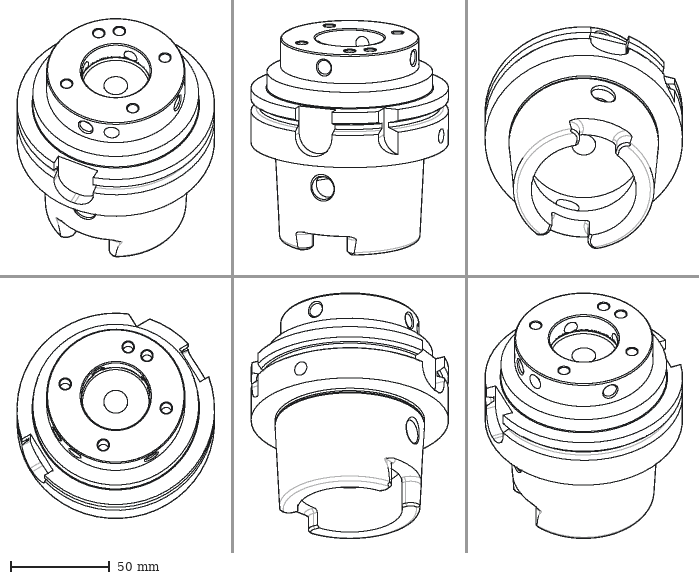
import cadquery as cq
import math


clearance = 1.0

top_z = 55.0
bottom_z = -49.9
collar_radius = 35.0
collar_base_z = 40.0
collar_chamfer_width = 0.5
collar_chamfer_height = 0.7
shoulder_radius = 42.0
shoulder_top_z = 37.2
shoulder_foot = 0.4
flange_diameter = 100.0
flange_radius = flange_diameter / 2
flange_top_z = 28.7

groove_top_z = 23.0
groove_bottom_z = 16.8
groove_flank_height = 1.4
groove_floor_top_z = 21.4
groove_floor_bottom_z = 18.9
groove_neck_radius = 47.4
groove_floor_radius = 45.9

shank_radius = 37.9
taper_slope = 0.05
relief_radius = 37.5
relief_start_z = -1.2
relief_end_z = -1.9
taper_start_z = -2.6
shank_bottom_radius = shank_radius + taper_slope * (bottom_z - taper_start_z)
rim_round = 1.9

bore_radius = 26.5
cavity_radius = 30.9
cavity_bottom_z = -25.2
cavity_top_z = -4.2
through_radius = 6.0
recess_radius = 17.4
recess_depth = 11.7
recess_mouth_chamfer = 0.6
recess_floor_radius = 16.8
recess_relief_radius = 18.0
recess_relief_top = 9.9
recess_relief_bottom = 11.1

collar_hole_z = top_z - 7.2
collar_hole_radius = 3.6
collar_hole_mouth_radius = 4.4
dimple_radius = 4.1
dimple_angle = -67.5
dimple_depth = 2.9
flange_dimple_z = 8.4
flange_dimple_radius = 3.7
flange_dimple_depth = 3.6
face_hole_circle = 26.3
face_hole_radius = 2.7
face_hole_mouth_radius = 3.1
face_hole_depth = 9.4
face_hole_angles = (45, 112, 135, 225, 315)

access_z = -14.9
access_radius = 6.0
access_mouth_radius = 7.0

slot_bottom_z = 4.9
slot_end_radius = 10.0
front_slot_half_width = 11.0
slot_floor_y = 43.7
corner_notch = 31.3

key_half_width = 9.9
key_lip_radius = 5.2
key_lip_y = 32.1
key_lip_slope = 25.0
key_corner_round = 1.9
key_end_chamfer = 1.3
front_key_z = -34.8
rear_key_z = -39.8


def turned_body():
    """Solid of revolution without its bores."""
    outline = [
        (0, top_z),
        (collar_radius - collar_chamfer_width, top_z),
        (collar_radius, top_z - collar_chamfer_height),
        (collar_radius, collar_base_z),
        (shoulder_radius, shoulder_top_z),
        (shoulder_radius, flange_top_z + shoulder_foot),
        (shoulder_radius + shoulder_foot, flange_top_z),
        (flange_radius, flange_top_z),
        (flange_radius, groove_top_z),
        (groove_neck_radius, groove_top_z - groove_flank_height),
        (groove_floor_radius, groove_floor_top_z),
        (groove_floor_radius, groove_floor_bottom_z),
        (groove_neck_radius, groove_bottom_z + groove_flank_height),
        (flange_radius, groove_bottom_z),
        (flange_radius, 0),
        (shank_radius, 0),
        (relief_radius, relief_start_z),
        (relief_radius, relief_end_z),
        (shank_radius, taper_start_z),
        (shank_bottom_radius, bottom_z),
        (0, bottom_z),
    ]
    body = cq.Workplane("XZ").polyline(outline).close().revolve(360, (0, 0), (0, 1))
    return body.faces("<Z").edges().fillet(rim_round)


def key_cutter(ceiling_z):
    """Keyway on the -Y side whose walls roll outward over rounded lips."""
    slope = math.radians(key_lip_slope)
    lip_x = key_half_width + key_lip_radius
    lip_y = -key_lip_y + key_lip_radius

    def on_lip(angle):
        return (lip_x + key_lip_radius * math.cos(angle), lip_y + key_lip_radius * math.sin(angle))

    lip_start = on_lip(math.pi)
    lip_end = on_lip(1.5 * math.pi + slope)
    lip_middle = on_lip(1.25 * math.pi + slope / 2)

    outer_x = 29.4
    outer_y = -47.2
    inner_y = -15.7
    tail = (outer_x, lip_end[1] + (outer_x - lip_end[0]) * math.tan(slope))

    def mirrored(point):
        return (-point[0], point[1])

    def plan(z):
        return (
            cq.Workplane("XY", origin=(0, 0, z))
            .moveTo(key_half_width, inner_y)
            .lineTo(*lip_start)
            .threePointArc(lip_middle, lip_end)
            .lineTo(*tail)
            .lineTo(outer_x, outer_y)
            .lineTo(-outer_x, outer_y)
            .lineTo(*mirrored(tail))
            .lineTo(*mirrored(lip_end))
            .threePointArc(mirrored(lip_middle), mirrored(lip_start))
            .lineTo(-key_half_width, inner_y)
            .close()
        )

    slot = plan(bottom_z).extrude(ceiling_z - bottom_z)
    slot = slot.faces(">Z").edges().fillet(key_corner_round)
    flare = plan(bottom_z + key_end_chamfer).extrude(-key_end_chamfer, taper=-45)
    return slot.union(flare)


def flange_slot(center_x, half_width, floor_y, side):
    """Slot open to the top of the flange, cut inward along Y from the +Y (1) or -Y (-1) side."""
    depth = flange_radius + clearance - floor_y
    open_z = flange_top_z + clearance
    round_z = slot_bottom_z + slot_end_radius
    flat_half_width = half_width - slot_end_radius
    bulge = slot_end_radius * math.sqrt(0.5)

    outline = cq.Workplane("XZ").moveTo(-half_width, open_z).lineTo(-half_width, round_z)
    outline = outline.threePointArc(
        (-flat_half_width - bulge, round_z - bulge), (-flat_half_width, slot_bottom_z)
    )
    if flat_half_width > 0:
        outline = outline.lineTo(flat_half_width, slot_bottom_z)
    outline = outline.threePointArc((flat_half_width + bulge, round_z - bulge), (half_width, round_z))
    slot = outline.lineTo(half_width, open_z).close().extrude(depth / 2, both=True)
    return slot.translate((center_x, side * (floor_y + depth / 2), 0))


def cylinder(radius, length, start, direction):
    return cq.Workplane(cq.Solid.makeCylinder(radius, length, start, direction))


def cone(mouth_radius, end_radius, depth, start, direction):
    return cq.Workplane(cq.Solid.makeCone(mouth_radius, end_radius, depth, start, direction))


def axial_bores():
    """Stepped shank bore, through hole and the chamfered recess in the top face."""
    half_outline = [
        (0, bottom_z),
        (bore_radius, bottom_z),
        (bore_radius, cavity_bottom_z),
        (cavity_radius, cavity_bottom_z),
        (cavity_radius, cavity_top_z),
        (through_radius, cavity_top_z),
        (through_radius, top_z - recess_depth),
        (recess_floor_radius, top_z - recess_depth),
        (recess_relief_radius, top_z - recess_relief_bottom),
        (recess_relief_radius, top_z - recess_relief_top),
        (recess_radius, top_z - recess_relief_top),
        (recess_radius, top_z - recess_mouth_chamfer),
        (recess_radius + recess_mouth_chamfer, top_z),
        (0, top_z),
    ]
    return cq.Workplane("XZ").polyline(half_outline).close().revolve(360, (0, 0), (0, 1))


def face_hole(angle):
    """Blind hole in the top face with a countersunk mouth and a drill-point end."""
    mouth_center = radial_direction(angle) * face_hole_circle + cq.Vector(0, 0, top_z)
    countersink = face_hole_mouth_radius - face_hole_radius
    down = cq.Vector(0, 0, -1)
    drill_end = mouth_center + down * face_hole_depth
    hole = cylinder(face_hole_radius, face_hole_depth, mouth_center, down)
    hole = hole.union(cone(face_hole_mouth_radius, face_hole_radius, countersink, mouth_center, down))
    return hole.union(cone(face_hole_radius, 0, face_hole_radius, drill_end, down))


def radial_direction(angle):
    """Horizontal unit vector at an angle measured from +X."""
    return cq.Vector(math.cos(math.radians(angle)), math.sin(math.radians(angle)), 0)


def radial_hole(angle, radius, mouth_radius, outer_radius, z):
    """Hole from the outside to the axis, with a mouth countersunk at 90 degrees."""
    direction = radial_direction(angle)
    start = direction * (outer_radius + clearance) + cq.Vector(0, 0, z)
    wide_radius = mouth_radius + clearance
    hole = cylinder(radius, outer_radius + clearance, start, -direction)
    return hole.union(cone(wide_radius, radius, wide_radius - radius, start, -direction))


def dimple(angle, radius, depth, outer_radius, z):
    """Conical spot whose tip lies at the given depth below the cylindrical surface."""
    length = depth + clearance
    direction = radial_direction(angle)
    start = direction * (outer_radius + clearance) + cq.Vector(0, 0, z)
    return cone(radius * length / depth, 0, length, start, -direction)


result = turned_body().cut(axial_bores())

result = result.cut(key_cutter(front_key_z))
result = result.cut(key_cutter(rear_key_z).rotate((0, 0, 0), (0, 0, 1), 180))

result = result.cut(flange_slot(0, front_slot_half_width, slot_floor_y, -1))
result = result.cut(flange_slot(0, slot_end_radius, slot_floor_y, 1))
result = result.cut(flange_slot(-corner_notch - slot_end_radius, slot_end_radius, corner_notch, 1))

for angle in face_hole_angles:
    result = result.cut(face_hole(angle))

for angle in (0, 90, 180, 270):
    result = result.cut(
        radial_hole(angle, collar_hole_radius, collar_hole_mouth_radius, collar_radius, collar_hole_z)
    )

shank_radius_at_access = shank_radius + taper_slope * (access_z - taper_start_z)
for angle in (90, 270):
    result = result.cut(
        radial_hole(angle, access_radius, access_mouth_radius, shank_radius_at_access, access_z)
    )

result = result.cut(
    dimple(dimple_angle, dimple_radius, dimple_depth, collar_radius, collar_hole_z)
)
result = result.cut(
    dimple(180, flange_dimple_radius, flange_dimple_depth, flange_radius, flange_dimple_z)
)